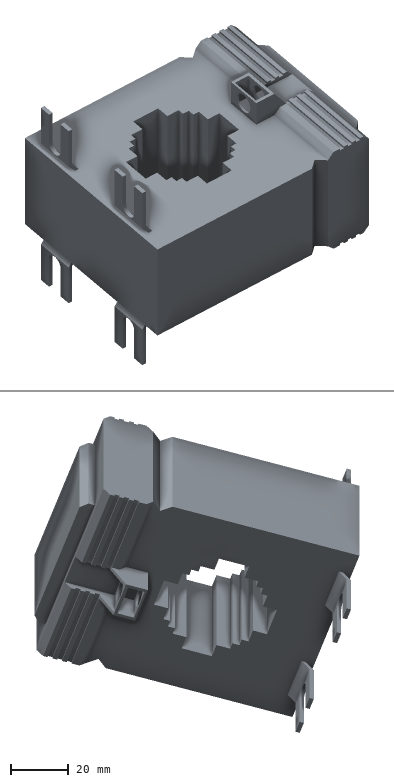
import cadquery as cq

width = 74.5
total_length = 98.5
body_half_height = 20.0

head_front = 75.55
head_rear = 93.8
head_chamfer = 2.5
head_half_height = body_half_height + head_chamfer

groove_count = 3
groove_width = 1.8
groove_pitch = 2 * groove_width
groove_depth = 0.8
first_groove_front = 80.9

cover_width = 55.0
cover_height = 34.8
cover_chamfer = 2.5

notch_depth = 3.1
notch_half_length = 3.5

window_center_y = 40.5
window_openings = [(41.4, 11.0), (31.1, 21.1), (26.2, 26.2), (21.1, 31.1), (11.0, 41.4)]

terminal_width = 14.2
terminal_side_wall = 1.2
terminal_front_wall = 0.8
terminal_front = 67.6
terminal_top = 29.9
ramp_rear = first_groove_front
channel_width = terminal_width - 2 * terminal_side_wall
pocket_front = terminal_front + terminal_front_wall
pocket_rear = head_front - terminal_side_wall
wire_hole_diameter = 7.5
wire_hole_z = 25.0

foot_width = 15.6
foot_center_x = 20.7
foot_front = 0.2
foot_rear = 1.8
foot_tip = 40.0
foot_bend = 23.4
foot_root_front = 3.1
foot_root_rear = 4.6
slot_width = 6.5
slot_center_z = 27.1


def block(x_size, y_min, y_max, z_min, z_max):
    """Box centred on X, spanning the given Y and Z ranges."""
    return (
        cq.Workplane("XY")
        .box(x_size, y_max - y_min, z_max - z_min, centered=(True, False, False))
        .translate((0, y_min, z_min))
    )


def side_profile(points, x_size):
    """Extrude a (Y, Z) outline symmetrically along X."""
    return cq.Workplane("YZ").polyline(points).close().extrude(x_size / 2, both=True)


def both_faces(shape):
    """Shape on the upper face together with its copy on the lower face."""
    return shape.union(shape.mirror("XY"))


def make_body():
    body = block(width, 0, head_front, -body_half_height, body_half_height)
    notch_y = head_front - notch_half_length
    for side in (-1, 1):
        edge = side * width / 2
        notch = (
            cq.Workplane("XY")
            .workplane(offset=-body_half_height)
            .moveTo(edge, head_front)
            .lineTo(edge - side * notch_depth, notch_y)
            .lineTo(edge, notch_y - notch_half_length)
            .close()
            .extrude(2 * body_half_height)
        )
        body = body.cut(notch)
    return body


def make_head():
    head = block(width, head_front, head_rear, -head_half_height, head_half_height)
    head = head.edges("|X").chamfer(head_chamfer)
    for i in range(groove_count):
        front = first_groove_front + i * groove_pitch
        groove = block(width, front, front + groove_width, head_half_height - groove_depth, head_half_height)
        head = head.cut(both_faces(groove))
    return head


def make_cover():
    cover = block(cover_width, head_rear, total_length, -cover_height / 2, cover_height / 2)
    return cover.edges(">Y and |Z").chamfer(cover_chamfer)


def make_terminal():
    """Upper housing with a ramp that falls to the top of the head."""
    outline = [
        (terminal_front, body_half_height),
        (terminal_front, terminal_top),
        (head_front, terminal_top),
        (ramp_rear, head_half_height),
        (ramp_rear, body_half_height),
    ]
    return side_profile(outline, terminal_width)


def make_terminal_cuts():
    """Open pocket, wire channel behind it and the wire hole through both walls."""
    pocket = block(channel_width, pocket_front, pocket_rear, body_half_height, terminal_top)
    channel = block(channel_width, head_front, head_rear, body_half_height, terminal_top)
    wire_hole = (
        cq.Workplane("XZ", origin=(0, terminal_front, wire_hole_z))
        .circle(wire_hole_diameter / 2)
        .extrude(terminal_front - head_front)
    )
    return pocket.union(channel).union(wire_hole)


def make_foot():
    """Upper cranked foot with an open-ended slot, centred on X = 0."""
    outline = [
        (foot_root_front, body_half_height),
        (foot_front, foot_bend),
        (foot_front, foot_tip),
        (foot_rear, foot_tip),
        (foot_rear, foot_bend),
        (foot_root_rear, body_half_height),
    ]
    slot_end = (
        cq.Workplane("XZ", origin=(0, foot_front, slot_center_z))
        .circle(slot_width / 2)
        .extrude(foot_front - foot_rear)
    )
    slot = block(slot_width, foot_front, foot_rear, slot_center_z, foot_tip).union(slot_end)
    return side_profile(outline, foot_width).cut(slot)


result = make_body().union(make_head()).union(make_cover())
result = result.union(both_faces(make_terminal())).cut(both_faces(make_terminal_cuts()))

for opening_width, opening_length in window_openings:
    front = window_center_y - opening_length / 2
    rear = window_center_y + opening_length / 2
    result = result.cut(block(opening_width, front, rear, -body_half_height, body_half_height))

for side in (-1, 1):
    result = result.union(both_faces(make_foot()).translate((side * foot_center_x, 0, 0)))